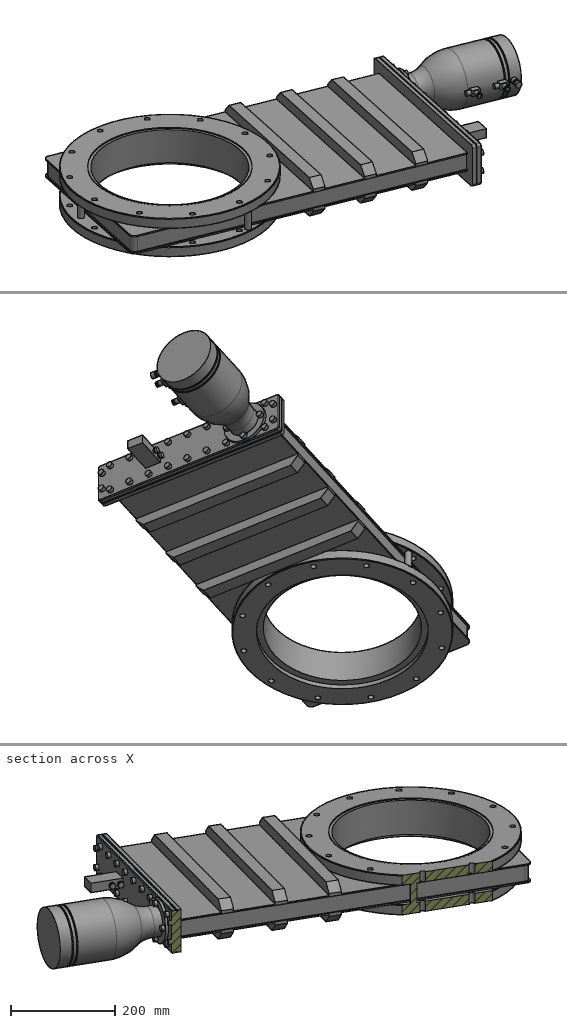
import cadquery as cq
import math


housing_half_width = 182.0
housing_half_height = 20.0
housing_front_y = -178.0
cover_thickness = 3.0
cover_overhang = 3.0
housing_corner_radius = 10.0

flange_radius = 212.47
flange_top_z = 42.0
flange_edge_chamfer = 1.5
bore_radius = 152.0
upper_recess_radius = 158.0
upper_recess_depth = 2.0
lower_recess_radius = 165.0
lower_recess_depth = 10.0
bolt_count = 12
bolt_circle_radius = 197.0
bolt_hole_diameter = 11.0

pillar_diameter = 14.0
side_pillar_x = 190.5
side_pillar_y = 69.5
front_pillar_y = -193.0

rib_width = 25.5
rib_pitch = 111.5
rib_count = 3
first_rib_y = 228.5
rib_bevel_run = 16.5
rib_bevel_height = 18.0

bonnet_half_width = 203.5
bonnet_half_height = 45.0
bonnet_bottom_y = 550.5
bonnet_plate_thickness = 10.0
bonnet_corner_radius = 6.0
bonnet_edge_chamfer = 2.0
lid_top_y = bonnet_bottom_y + 2 * bonnet_plate_thickness

screw_head_diameter = 12.0
screw_head_height = 7.0
lid_screw_pitch = 43.5
lid_screws_each_side = 4
lid_screw_z = 31.0
lid_end_screw_x = 192.5
lid_end_screw_z = 20.0

actuator_x = -129.5
actuator_radius = 60.2
actuator_top_y = 800.25
shoulder_y = 683.5
dome_end_y = 623.0
dome_end_radius = 38.6
neck_top_y = 594.0
neck_radius = 31.0
foot_radius = 45.0
foot_thickness = 6.0
foot_screw_circle_radius = 37.0
groove_ys = (764.8, 774.0)
groove_width = 2.5
groove_depth = 0.8

top_port_y = 783.5
elbow_ys = (757.0, 696.0)
port_diameter = 13.0
port_neck_diameter = 9.0
port_length = 21.5
port_nut_length = 9.0
port_neck_length = 3.5
elbow_width = 13.0
elbow_reach = 11.5
elbow_rise = 9.0
elbow_drop = 9.0
elbow_stem_diameter = 11.0
elbow_stem_length = 10.0
tube_nut_length = 10.5
tube_neck_length = 2.5
tube_collar_length = 2.5
tube_nut_diameter = 11.0
tube_neck_diameter = 6.0
fitting_embed = 4.0

box_x_min = 62.5
box_x_max = 96.0
box_top_y = 637.0
box_half_height = 10.0
plug_diameter = 12.0
plug_length = 8.5
plug_ys = (594.5, 577.5)
plug_neck_diameter = 8.0
plug_neck_length = 3.0


def box(x_range, y_range, z_range):
    size = [high - low for low, high in (x_range, y_range, z_range)]
    corner = (x_range[0], y_range[0], z_range[0])
    return cq.Workplane("XY").box(*size, centered=False).translate(corner)


def symmetric_box(half_width, y_range, half_height):
    return box((-half_width, half_width), y_range, (-half_height, half_height))


def cylinder(start, direction, diameter, length):
    return cq.Workplane(obj=cq.Solid.makeCylinder(
        diameter / 2, length, cq.Vector(*start), cq.Vector(*direction)))


def make_housing():
    core_half_height = housing_half_height - cover_thickness
    core = symmetric_box(
        housing_half_width - cover_overhang,
        (housing_front_y + cover_overhang, bonnet_bottom_y),
        core_half_height,
    )
    housing = core.edges("|Z and <Y").fillet(housing_corner_radius)
    cover = box(
        (-housing_half_width, housing_half_width),
        (housing_front_y, bonnet_bottom_y),
        (core_half_height, housing_half_height),
    )
    cover = cover.edges("|Z and <Y").fillet(housing_corner_radius)
    return housing.union(cover).union(cover.mirror("XY"))


def make_rib(y):
    top_half_width = housing_half_width - rib_bevel_run
    bevel_start_z = flange_top_z - rib_bevel_height
    profile = [
        (-housing_half_width, housing_half_height),
        (housing_half_width, housing_half_height),
        (housing_half_width, bevel_start_z),
        (top_half_width, flange_top_z),
        (-top_half_width, flange_top_z),
        (-housing_half_width, bevel_start_z),
    ]
    rib = cq.Workplane("XZ").polyline(profile).close().extrude(rib_width / 2, both=True)
    return rib.translate((0, y, 0))


def make_flange():
    flange = cq.Workplane("XY").workplane(offset=housing_half_height)
    flange = flange.circle(flange_radius).extrude(flange_top_z - housing_half_height)
    flange = flange.edges().chamfer(flange_edge_chamfer)
    half_step = 180 / bolt_count
    holes = (
        cq.Workplane("XY")
        .workplane(offset=housing_half_height)
        .polarArray(bolt_circle_radius, half_step, 360, bolt_count)
        .circle(bolt_hole_diameter / 2)
        .extrude(flange_top_z - housing_half_height)
    )
    return flange.cut(holes)


def make_pillars():
    places = [
        (-side_pillar_x, side_pillar_y),
        (side_pillar_x, side_pillar_y),
        (0, front_pillar_y),
    ]
    pillars = cq.Workplane("XY").pushPoints(places).circle(pillar_diameter / 2)
    return pillars.extrude(housing_half_height, both=True)


def make_bonnet():
    seam_y = bonnet_bottom_y + bonnet_plate_thickness
    flange = symmetric_box(bonnet_half_width, (bonnet_bottom_y, seam_y), bonnet_half_height)
    flange = flange.edges("|Y").fillet(bonnet_corner_radius)
    flange = flange.faces(">Y").chamfer(bonnet_edge_chamfer)
    lid = symmetric_box(bonnet_half_width, (seam_y, lid_top_y), bonnet_half_height)
    lid = lid.edges("|Y").fillet(bonnet_corner_radius)
    lid = lid.faces(">Y").chamfer(bonnet_edge_chamfer)
    return flange.union(lid)


def screw_head(x, y, z):
    return cylinder((x, y, z), (0, 1, 0), screw_head_diameter, screw_head_height)


def make_lid_screws():
    screws = cq.Workplane("XY")
    for z_side in (-1, 1):
        for index in range(-lid_screws_each_side, lid_screws_each_side + 1):
            screws = screws.union(screw_head(index * lid_screw_pitch, lid_top_y, z_side * lid_screw_z))
        for x_side in (-1, 1):
            x = x_side * lid_end_screw_x
            screws = screws.union(screw_head(x, lid_top_y, z_side * lid_end_screw_z))
    return screws


def make_actuator():
    dome_drop = actuator_radius - dome_end_radius
    dome_length = shoulder_y - dome_end_y
    dome_arc_radius = (dome_length ** 2 + dome_drop ** 2) / (2 * dome_drop)
    dome_mid_r = actuator_radius - dome_arc_radius + math.sqrt(dome_arc_radius ** 2 - (dome_length / 2) ** 2)
    body = (
        cq.Workplane("XY")
        .moveTo(0, actuator_top_y)
        .lineTo(actuator_radius, actuator_top_y)
        .lineTo(actuator_radius, shoulder_y)
        .threePointArc((dome_mid_r, shoulder_y - dome_length / 2), (dome_end_radius, dome_end_y))
    )
    throat_rise = dome_end_radius - neck_radius
    throat_length = dome_end_y - neck_top_y
    throat_arc_radius = (throat_length ** 2 + throat_rise ** 2) / (2 * throat_rise)
    throat_mid_r = neck_radius + throat_arc_radius - math.sqrt(
        throat_arc_radius ** 2 - (throat_length / 2) ** 2)
    foot_top_y = lid_top_y + foot_thickness
    body = (
        body.threePointArc((throat_mid_r, neck_top_y + throat_length / 2), (neck_radius, neck_top_y))
        .lineTo(neck_radius, foot_top_y)
        .lineTo(foot_radius, foot_top_y)
        .lineTo(foot_radius, lid_top_y)
        .lineTo(0, lid_top_y)
        .close()
        .revolve(360, (0, 0, 0), (0, 1, 0))
    )
    for y in groove_ys:
        start = (0, y - groove_width / 2, 0)
        ring = cylinder(start, (0, 1, 0), 2 * actuator_radius, groove_width)
        ring = ring.cut(cylinder(start, (0, 1, 0), 2 * (actuator_radius - groove_depth), groove_width))
        body = body.cut(ring)
    for quarter in range(4):
        angle = quarter * math.pi / 2
        x = foot_screw_circle_radius * math.cos(angle)
        z = foot_screw_circle_radius * math.sin(angle)
        body = body.union(screw_head(x, foot_top_y, z))
    return body.translate((actuator_x, 0, 0))


def stepped_stem(x, y, steps):
    stem = cq.Workplane("XY")
    for diameter, length in steps:
        stem = stem.union(cylinder((x, y, 0), (1, 0, 0), diameter, length))
        x += length
    return stem


def make_top_port():
    start_x = actuator_x + actuator_radius - fitting_embed
    last_length = port_length - port_nut_length - port_neck_length
    steps = [
        (port_diameter, fitting_embed + port_nut_length),
        (port_neck_diameter, port_neck_length),
        (port_diameter, last_length),
    ]
    return stepped_stem(start_x, top_port_y, steps)


def make_elbow(y):
    surface_x = actuator_x + actuator_radius
    end_x = surface_x + elbow_reach
    half_width = elbow_width / 2
    block = box(
        (surface_x - fitting_embed, end_x),
        (y - elbow_drop, y + elbow_rise),
        (-half_width, half_width),
    )
    stem_x = end_x - half_width
    stem = cylinder((stem_x, y - elbow_drop, 0), (0, -1, 0), elbow_stem_diameter, elbow_stem_length)
    steps = [
        (tube_nut_diameter, tube_nut_length),
        (tube_neck_diameter, tube_neck_length),
        (tube_nut_diameter, tube_collar_length),
    ]
    return block.union(stem).union(stepped_stem(end_x, y, steps))


def make_indicator_box():
    indicator = box((box_x_min, box_x_max), (lid_top_y, box_top_y), (-box_half_height, box_half_height))
    plug_steps = [
        (plug_diameter, plug_length - plug_neck_length),
        (plug_neck_diameter, plug_neck_length),
    ]
    for y in plug_ys:
        indicator = indicator.union(stepped_stem(box_x_min - plug_length, y, plug_steps))
    return indicator


def make_bore():
    bore = cq.Workplane("XY").circle(bore_radius).extrude(flange_top_z, both=True)
    upper_recess_z = flange_top_z - upper_recess_depth
    upper_recess = cylinder((0, 0, upper_recess_z), (0, 0, 1), 2 * upper_recess_radius, upper_recess_depth)
    lower_recess = cylinder((0, 0, -flange_top_z), (0, 0, 1), 2 * lower_recess_radius, lower_recess_depth)
    return bore.union(upper_recess).union(lower_recess)


upper_side = make_flange()
for rib_index in range(rib_count):
    upper_side = upper_side.union(make_rib(first_rib_y + rib_index * rib_pitch))

result = make_housing().union(upper_side).union(upper_side.mirror("XY"))
result = result.union(make_pillars()).cut(make_bore())
result = result.union(make_bonnet()).union(make_lid_screws())
result = result.union(make_actuator()).union(make_top_port())
for elbow_y in elbow_ys:
    result = result.union(make_elbow(elbow_y))
result = result.union(make_indicator_box())